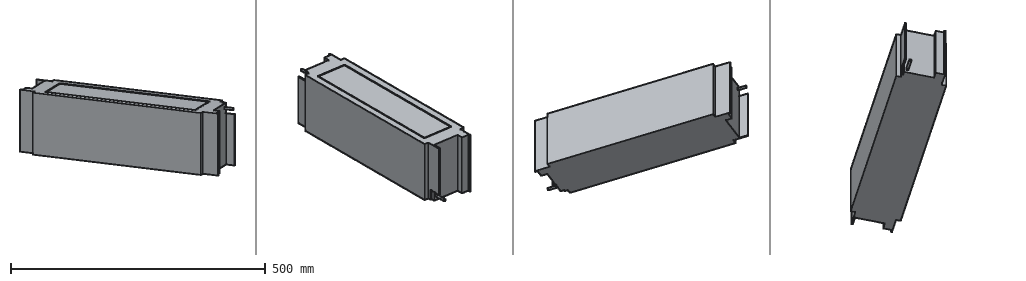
import cadquery as cq

overall_length = 433.0
body_depth = 101.8
height = 127.0

flange_length = 426.5
shoulder_length = 417.0
core_length = 390.5
body_length = 362.0
center_x = overall_length - flange_length / 2

flange_inset = 9.5
flange_thickness = 3.0
shoulder_depth = 16.0
flange_y = body_depth / 2 - flange_inset
shoulder_back_y = -flange_y + flange_thickness + shoulder_depth

recess_length = 322.5
recess_width = 69.5
recess_depth = 1.7

notch_height = 22.0
notch_offset = 6.5
notch_start = body_length / 2 + notch_offset

pin_diameter = 5.0
pin_y = 32.0
pin_edge_distance = 9.5


def centered_block(length, y_min, y_max):
    """Full-height block centred on the body's middle plane."""
    return cq.Workplane("XY").box(length, y_max - y_min, height, centered=(True, False, False)).translate(
        (center_x, y_min, 0)
    )


def make_housing():
    """Main body, narrower core, front shoulders and the four end flanges."""
    housing = centered_block(body_length, -body_depth / 2, body_depth / 2)
    housing = housing.union(centered_block(core_length, -flange_y, flange_y))
    housing = housing.union(centered_block(shoulder_length, -flange_y, shoulder_back_y))
    for flange_start_y in (-flange_y, flange_y - flange_thickness):
        flange = centered_block(flange_length, flange_start_y, flange_start_y + flange_thickness)
        housing = housing.union(flange)
    return housing


def make_recess():
    return (
        cq.Workplane("XY", origin=(center_x, 0, height))
        .rect(recess_length, recess_width)
        .extrude(-recess_depth)
    )


def make_notch(side, z_min):
    """Cutter for one rear flange; side is -1 at the left end and +1 at the right."""
    notch_length = flange_length / 2 - notch_start
    notch_center = center_x + side * (notch_start + notch_length / 2)
    return (
        cq.Workplane("XY", origin=(notch_center, flange_y - flange_thickness / 2, z_min))
        .rect(notch_length, flange_thickness)
        .extrude(notch_height)
    )


def make_pin(start_x, end_x, z):
    return cq.Workplane("YZ", origin=(start_x, pin_y, z)).circle(pin_diameter / 2).extrude(end_x - start_x)


result = make_housing().cut(make_recess())

result = result.cut(make_notch(-1, 0)).cut(make_notch(1, height - notch_height))

core_left = center_x - core_length / 2
core_right = center_x + core_length / 2
result = result.union(make_pin(0, core_left, pin_edge_distance))
result = result.union(make_pin(core_right, overall_length, height - pin_edge_distance))